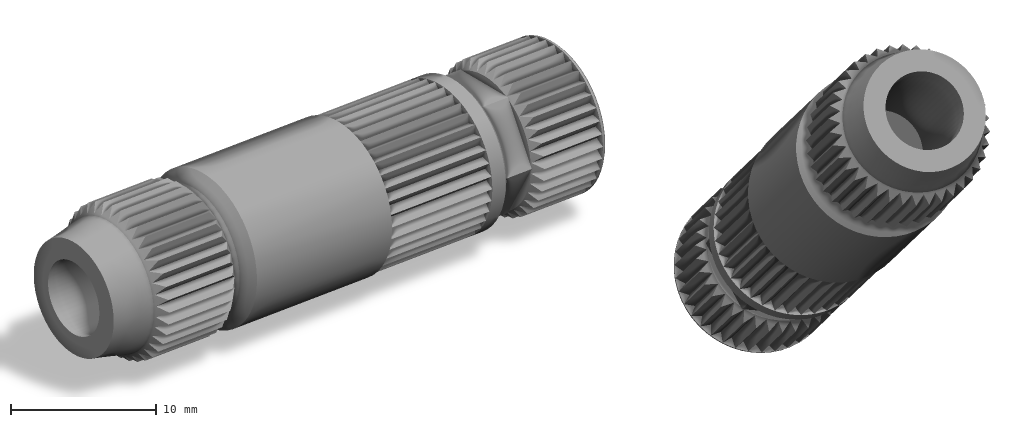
import cadquery as cq
import math

LENGTH = 42.5
FRONT_Y = -LENGTH / 2
REAR_Y = LENGTH / 2

BODY_R = 5.9
KNURL_TIP_R = 5.8
KNURL_VALLEY_R = 5.15
NECK_R = 5.0
COUPLING_CHAMFER_R = 5.1
NOSE_R = 4.38
BORE_R = 2.8
KNURL_TEETH = 38

NOSE_END_Y = -18.25
NECK_START_Y = -11.05
NECK_END_Y = -10.62
BODY_CHAMFER_END_Y = -9.8
BODY_END_Y = 2.12
GRIP_END_Y = 11.1
COLLAR_END_Y = 12.55
COUPLING_START_Y = 15.05
RIM_START_Y = 20.85

COLLAR_CHAMFER = 0.25
RIM_CHAMFER = 0.2
HEX_ACROSS_FLATS = 9.0
BORE_END_Y = NECK_START_Y

CONE_OUTER_R = KNURL_TIP_R + 0.42


def revolve_about_y(points):
    """Turn a closed (radius, y) outline around the Y axis."""
    return cq.Workplane("XY").polyline(points).close().revolve(360, (0, 0, 0), (0, 1, 0))


def along_y(start_y):
    """Workplane across the Y axis at the given station; its normal is -Y."""
    return cq.Workplane("XZ", origin=(0, start_y, 0))


def polar_point(radius, angle):
    return (radius * math.cos(angle), radius * math.sin(angle))


def disc(radius, start_y, end_y):
    """Cylinder on the Y axis between two stations."""
    return along_y(start_y).circle(radius).extrude(start_y - end_y)


def knurl(start_y, end_y):
    """Straight V-tooth knurl between two stations."""
    pitch = 2 * math.pi / KNURL_TEETH
    outline = []
    for tooth in range(KNURL_TEETH):
        outline.append(polar_point(KNURL_TIP_R, tooth * pitch))
        outline.append(polar_point(KNURL_VALLEY_R, (tooth + 0.5) * pitch))
    return along_y(start_y).polyline(outline).close().extrude(start_y - end_y)


def clamping_nut():
    """Tapered nose and a knurl chamfered at both ends."""
    cone_rise = CONE_OUTER_R - NECK_R
    envelope = revolve_about_y([
        (0, NOSE_END_Y),
        (NECK_R, NOSE_END_Y),
        (CONE_OUTER_R, NOSE_END_Y + cone_rise),
        (CONE_OUTER_R, NECK_START_Y - cone_rise),
        (NECK_R, NECK_START_Y),
        (0, NECK_START_Y),
    ])
    nose = revolve_about_y([
        (0, FRONT_Y),
        (NOSE_R, FRONT_Y),
        (NECK_R, NOSE_END_Y),
        (0, NOSE_END_Y),
    ])
    return knurl(NOSE_END_Y, NECK_START_Y).intersect(envelope).union(nose)


def body():
    """Neck, smooth sleeve, knurled grip and collar."""
    sleeve = revolve_about_y([
        (0, NECK_START_Y),
        (NECK_R, NECK_START_Y),
        (NECK_R, NECK_END_Y),
        (BODY_R, BODY_CHAMFER_END_Y),
        (BODY_R, BODY_END_Y),
        (0, BODY_END_Y),
    ])
    collar = disc(KNURL_TIP_R, GRIP_END_Y, COLLAR_END_Y).faces(">Y").chamfer(COLLAR_CHAMFER)
    return sleeve.union(knurl(BODY_END_Y, GRIP_END_Y)).union(collar)


def hexagon():
    """Hexagon with flats facing up and down, corners on +X and -X."""
    length = COUPLING_START_Y - COLLAR_END_Y
    across_corners = HEX_ACROSS_FLATS / math.cos(math.pi / 6)
    return along_y(COLLAR_END_Y).polygon(6, across_corners).extrude(-length)


def coupling_nut():
    """Knurl chamfered towards the hexagon, closed by a plain rim at the end."""
    cone_rise = CONE_OUTER_R - COUPLING_CHAMFER_R
    envelope = revolve_about_y([
        (0, COUPLING_START_Y),
        (COUPLING_CHAMFER_R, COUPLING_START_Y),
        (CONE_OUTER_R, COUPLING_START_Y + cone_rise),
        (CONE_OUTER_R, RIM_START_Y),
        (0, RIM_START_Y),
    ])
    rim = disc(KNURL_TIP_R, RIM_START_Y, REAR_Y).faces(">Y").chamfer(RIM_CHAMFER)
    return knurl(COUPLING_START_Y, RIM_START_Y).intersect(envelope).union(rim)


bore = disc(BORE_R, FRONT_Y, BORE_END_Y)
result = clamping_nut().union(body()).union(hexagon()).union(coupling_nut()).cut(bore)